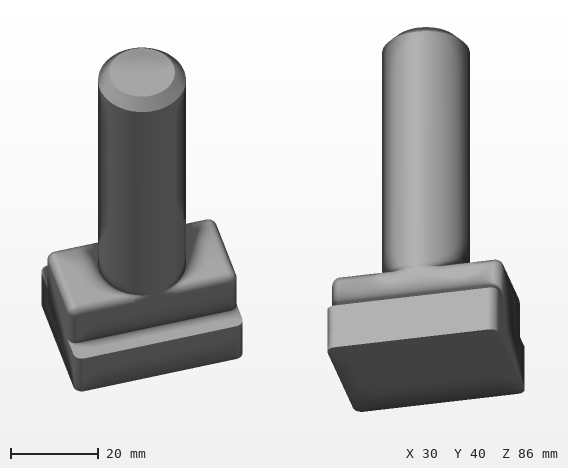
import cadquery as cq
import math

head_length = 40.0
flange_width = 30.0
flange_height = 11.0
neck_width = 20.0
neck_top = 22.0
edge_radius = 2.0
shank_diameter = neck_width
shank_tip_diameter = 15.0
overall_height = 86.0

shank_radius = shank_diameter / 2
tip_chamfer = (shank_diameter - shank_tip_diameter) / 2

ball_offset = neck_width / 2 - edge_radius
fade_length = math.sqrt(shank_radius**2 - ball_offset**2)
fade_start = 0.05
fade_steps = 10


def rounded_block(width, bottom, top):
    """Block centred on Z with its four vertical edges rounded."""
    return (
        cq.Workplane("XY", origin=(0, 0, bottom))
        .rect(width, head_length)
        .extrude(top - bottom)
        .edges("|Z")
        .fillet(edge_radius)
    )


def fade_section(ball_y):
    """Closed outline removed from the neck edge with the ball centred at ball_y."""
    reach = math.hypot(ball_offset, ball_y)
    drop = math.sqrt(max(edge_radius**2 - (shank_radius - reach) ** 2, 0))
    center = cq.Vector(ball_offset, ball_y, neck_top - drop)
    side_point = center + cq.Vector(edge_radius, 0, 0)
    foot_point = cq.Vector(
        shank_radius * ball_offset / reach,
        shank_radius * ball_y / reach,
        neck_top,
    )
    corner = cq.Vector(neck_width / 2, foot_point.y, neck_top)
    bisector = (side_point - center) + (foot_point - center)
    arc_middle = center + bisector.normalized() * edge_radius
    return cq.Wire.assembleEdges(
        [
            cq.Edge.makeThreePointArc(side_point, arc_middle, foot_point),
            cq.Edge.makeLine(foot_point, corner),
            cq.Edge.makeLine(corner, side_point),
        ]
    )


def make_fade_cutter():
    """Sliver removed from the +X side of the neck, on the +Y side of the shank."""
    step = (fade_length - fade_start) / fade_steps
    sections = [fade_section(fade_start + i * step) for i in range(fade_steps + 1)]
    return cq.Workplane(cq.Solid.makeLoft(sections))


def make_neck():
    """Neck with rounded top edges that fade out beside the shank."""
    middle = (
        cq.Workplane("XY", origin=(0, 0, flange_height))
        .rect(neck_width, 2 * fade_length)
        .extrude(neck_top - flange_height)
    )
    neck = rounded_block(neck_width, flange_height, neck_top)
    ends = neck.faces(">Z").edges().fillet(edge_radius).cut(middle)

    cutter = make_fade_cutter()
    for side_cutter in (cutter, cutter.mirror("XZ")):
        middle = middle.cut(side_cutter).cut(side_cutter.mirror("YZ"))
    return ends.union(middle)


def make_shank():
    """Round shank with a chamfered tip."""
    return (
        cq.Workplane("XY", origin=(0, 0, neck_top))
        .circle(shank_radius)
        .extrude(overall_height - neck_top)
        .faces(">Z")
        .chamfer(tip_chamfer)
    )


head = rounded_block(flange_width, 0, flange_height).union(make_neck())
result = head.union(make_shank())